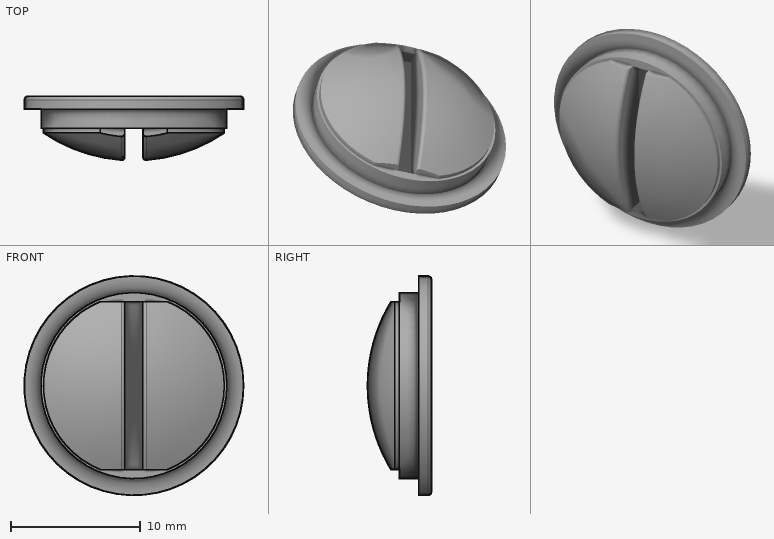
import cadquery as cq
import math

flange_radius = 8.5
flange_thickness = 1.0
back_edge_fillet = 0.3

shoulder_radius = 7.2
shoulder_height = 1.5

dome_radius = 7.0
dome_sphere_radius = 12.5
dome_flat_distance = 13.0
total_depth = 5.0

slot_width = 1.4
slot_depth_in_shoulder = 1.0
slot_lip_fillet = 0.25

shoulder_face = flange_thickness + shoulder_height
dome_height = total_depth - shoulder_face
dome_sag = dome_sphere_radius - math.sqrt(dome_sphere_radius**2 - dome_radius**2)
rim_face = total_depth - dome_sag


def disc(radius, start, thickness):
    """Disc about the Y axis, growing towards -Y from the given depth."""
    return cq.Workplane("XZ", origin=(0, -start, 0)).circle(radius).extrude(thickness)


def make_flange():
    flange = disc(flange_radius, 0, flange_thickness)
    return flange.faces(">Y").edges().fillet(back_edge_fillet)


def make_slot():
    """Block that clears the slot from its floor in the shoulder to the dome's peak."""
    slot_floor = shoulder_face - slot_depth_in_shoulder
    floor_plane = cq.Workplane("XZ", origin=(0, -slot_floor, 0))
    return floor_plane.rect(slot_width, dome_flat_distance).extrude(total_depth - slot_floor)


def make_dome():
    """Revolve the dome profile, trim its two flats, cut the slot and round its lips."""
    arc_middle_x = dome_radius / 2
    sphere_center = total_depth - dome_sphere_radius
    arc_middle_depth = sphere_center + math.sqrt(dome_sphere_radius**2 - arc_middle_x**2)
    dome = (
        cq.Workplane("XY")
        .moveTo(0, -shoulder_face)
        .lineTo(dome_radius, -shoulder_face)
        .lineTo(dome_radius, -rim_face)
        .threePointArc((arc_middle_x, -arc_middle_depth), (0, -total_depth))
        .close()
        .revolve(360, (0, 0, 0), (0, 1, 0))
    )
    front_of_shoulder = cq.Workplane("XZ", origin=(0, -shoulder_face, 0))
    flats = front_of_shoulder.rect(2 * dome_radius, dome_flat_distance).extrude(dome_height)
    dome = dome.intersect(flats).cut(make_slot())

    half_slot = slot_width / 2
    lip_reach = slot_lip_fillet / 2
    lip_edges = cq.selectors.BoxSelector(
        (-half_slot - lip_reach, -total_depth, -lip_reach),
        (half_slot + lip_reach, -rim_face, lip_reach),
    )
    return dome.edges("%CIRCLE").edges(lip_edges).fillet(slot_lip_fillet)


shoulder = disc(shoulder_radius, flange_thickness, shoulder_height).cut(make_slot())
result = make_flange().union(shoulder).union(make_dome())